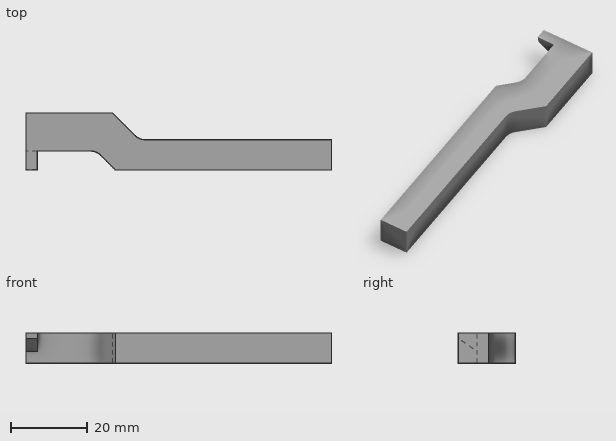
import cadquery as cq
import math

length = 80.0
width = 15.0
height = 8.0

shank_width = height
head_front_y = 5.0

jog_angle = math.radians(45)
jog_thickness = 10.0
front_bend_x = 18.5
jog_radius = 4.0

tip_thickness = 3.0
tip_face_height = 1.55
tip_relief_angle = math.radians(8)
tip_slope_angle = math.radians(35)


def make_bar():
    """Cranked bar with full-height tip, the inner bends of the jog rounded."""
    jog_run_per_width = 1 / math.tan(jog_angle)
    shank_front_corner_x = front_bend_x + head_front_y * jog_run_per_width
    back_bend_x = shank_front_corner_x + jog_thickness / math.sin(jog_angle) - shank_width * jog_run_per_width
    head_back_corner_x = back_bend_x - (width - shank_width) * jog_run_per_width
    front_bend = (front_bend_x, head_front_y)
    back_bend = (back_bend_x, shank_width)
    outline = [
        (0, 0),
        (tip_thickness, 0),
        (tip_thickness, head_front_y),
        front_bend,
        (shank_front_corner_x, 0),
        (length, 0),
        (length, shank_width),
        back_bend,
        (head_back_corner_x, width),
        (0, width),
    ]
    bar = cq.Workplane("XY").polyline(outline).close().extrude(height)
    for bend_x, bend_y in (back_bend, front_bend):
        nearest = cq.selectors.NearestToPointSelector((bend_x, bend_y, height / 2))
        bar = bar.edges(nearest).fillet(jog_radius)
    return bar


def make_tip_clearance():
    """Material removed below the tip: relieved front face, then a slope back to the head."""
    face_bottom_y = tip_face_height * math.tan(tip_relief_angle)
    slope_rise = (head_front_y - face_bottom_y) * math.tan(tip_slope_angle)
    tip_root_z = height - tip_face_height - slope_rise
    profile = [
        (0, height),
        (face_bottom_y, height - tip_face_height),
        (head_front_y, tip_root_z),
        (head_front_y, 0),
        (0, 0),
    ]
    return cq.Workplane("YZ").polyline(profile).close().extrude(tip_thickness)


result = make_bar().cut(make_tip_clearance())